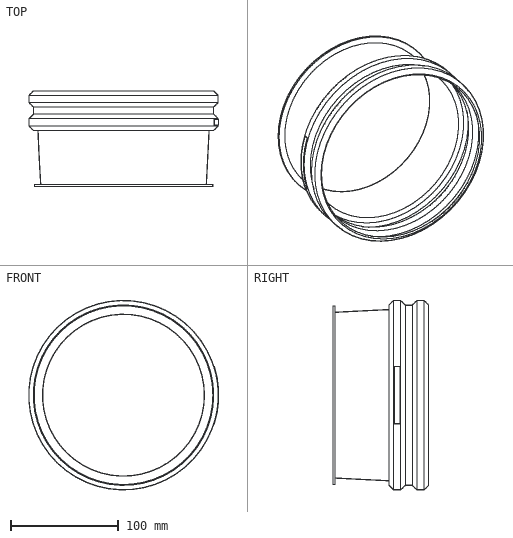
import cadquery as cq
import math

total_length = 89.0
wall = 2.0

flange_diameter = 165.9
flange_thickness = 2.1

cone_front_radius = 77.0
cone_rear_radius = 79.6

ridge_diameter = 176.0
groove_diameter = 167.5
ridge_land = 6.7
groove_land = 6.5
flank_angle = math.radians(45)

pad_height = 0.5
pad_width = 5.1
pad_half_angle = 17.5

ridge_radius = ridge_diameter / 2
groove_radius = groove_diameter / 2
flank = (ridge_radius - groove_radius) / math.tan(flank_angle)
ridge_length = ridge_land + 2 * flank
step_y = total_length - 2 * ridge_length - groove_land
ridge_starts = [step_y, step_y + ridge_length + groove_land]

corner_shift = wall * math.tan(flank_angle / 2)


def ridge_outer_points(start):
    """Outer corners of one ridge, as (radius, y), from front to rear."""
    return [
        (groove_radius, start),
        (ridge_radius, start + flank),
        (ridge_radius, start + flank + ridge_land),
        (groove_radius, start + ridge_length),
    ]


def ridge_inner_points(start):
    """The same corners on the inner wall face."""
    return [
        (groove_radius - wall, start + corner_shift),
        (ridge_radius - wall, start + flank + corner_shift),
        (ridge_radius - wall, start + flank + ridge_land - corner_shift),
        (groove_radius - wall, start + ridge_length - corner_shift),
    ]


def revolve_about_y(points, angle=360):
    profile = cq.Workplane("XY").polyline(points).close()
    return profile.revolve(angle, (0, 0, 0), (0, 1, 0))


def make_sleeve():
    outer = [(cone_front_radius, 0), (cone_rear_radius, step_y)]
    for start in ridge_starts:
        outer += ridge_outer_points(start)

    front_ridge, rear_ridge = [ridge_inner_points(start) for start in ridge_starts]

    step_inner_y = step_y + wall
    front_ridge[0] = (groove_radius - corner_shift, step_inner_y)
    rear_ridge[-1] = (
        groove_radius - wall * math.cos(flank_angle),
        total_length - wall * math.sin(flank_angle),
    )

    inner = [(cone_front_radius - wall, 0), (cone_rear_radius - wall, step_inner_y)]
    inner += front_ridge + rear_ridge
    return revolve_about_y(outer + inner[::-1])


def make_flange():
    inside = cone_front_radius - wall / 2
    outside = flange_diameter / 2
    return revolve_about_y(
        [(inside, 0), (outside, 0), (outside, flange_thickness), (inside, flange_thickness)]
    )


def make_pad():
    """Thin curved pad centred on the land of the front ridge."""
    start_y = step_y + flank + (ridge_land - pad_width) / 2
    inside = ridge_radius - wall / 2
    outside = ridge_radius + pad_height
    end_y = start_y + pad_width
    profile = [(inside, start_y), (outside, start_y), (outside, end_y), (inside, end_y)]
    pad = revolve_about_y(profile, 2 * pad_half_angle)
    return pad.rotate((0, 0, 0), (0, 1, 0), -pad_half_angle)


result = make_sleeve().union(make_flange()).union(make_pad())